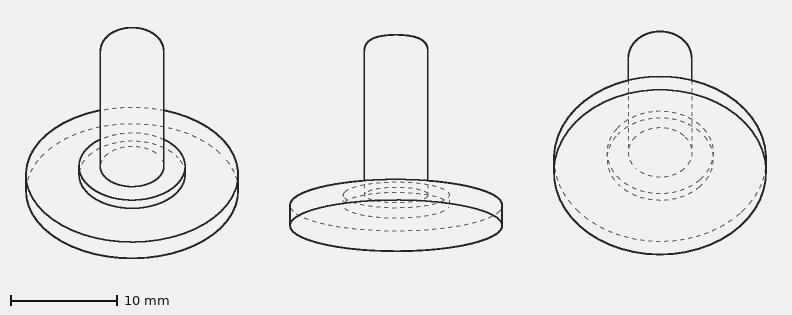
import cadquery as cq

flange_diameter = 20
flange_thickness = 2
collar_diameter = 10
collar_thickness = 1
pin_diameter = 6
overall_height = 18
tip_radius = 1

pin_length = overall_height - flange_thickness - collar_thickness

flange = cq.Workplane("XY").circle(flange_diameter / 2).extrude(flange_thickness)

with_collar = flange.faces(">Z").workplane().circle(collar_diameter / 2).extrude(collar_thickness)

with_pin = with_collar.faces(">Z").workplane().circle(pin_diameter / 2).extrude(pin_length)

result = with_pin.faces(">Z").edges().fillet(tip_radius)